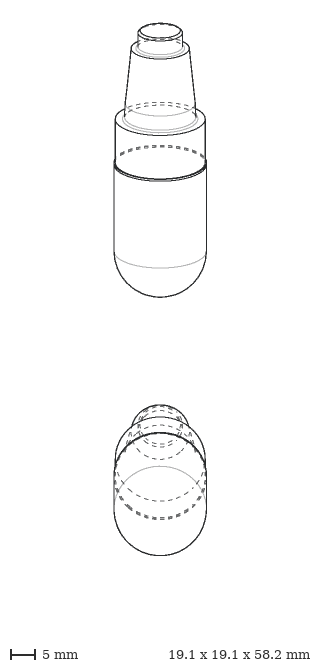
import cadquery as cq
import math

total_height = 58.2
capsule_radius = 19.05 / 2
joint_height = 28.7

collar_top = 29.1
shoulder_radius = 18.5 / 2
shoulder_top = 38.7
neck_base_radius = 7.35
taper_bottom = 42.2
taper_bottom_radius = 7.2
neck_top = 54.3
neck_top_radius = 6.0
button_radius = 9.2 / 2
button_chamfer_width = 0.45
button_chamfer_height = 0.45
root_fillet = 0.4


def make_capsule():
    """Cylinder with a hemispherical lower end and a flat top."""
    diagonal = capsule_radius * math.sqrt(0.5)
    profile = (
        cq.Workplane("XZ")
        .moveTo(0, 0)
        .threePointArc((diagonal, capsule_radius - diagonal), (capsule_radius, capsule_radius))
        .lineTo(capsule_radius, joint_height)
        .lineTo(0, joint_height)
        .close()
    )
    return profile.revolve(360, (0, 0, 0), (0, 1, 0))


def root_fillet_to(profile, wall_radius, floor_height):
    """Continue a profile along a floor and up a concave quarter fillet into a wall."""
    sag = root_fillet * (1 - math.sqrt(0.5))
    return (
        profile.lineTo(wall_radius + root_fillet, floor_height)
        .threePointArc(
            (wall_radius + sag, floor_height + sag),
            (wall_radius, floor_height + root_fillet),
        )
    )


def make_stem():
    """Turned stem with a collar, shoulder, tapered neck and chamfered button."""
    profile = (
        cq.Workplane("XZ")
        .moveTo(0, joint_height)
        .lineTo(capsule_radius, joint_height)
        .lineTo(capsule_radius, collar_top)
        .lineTo(shoulder_radius, collar_top)
        .lineTo(shoulder_radius, shoulder_top)
    )
    profile = root_fillet_to(profile, neck_base_radius, shoulder_top)
    profile = (
        profile.tangentArcPoint((taper_bottom_radius, taper_bottom), relative=False)
        .lineTo(neck_top_radius, neck_top)
    )
    profile = root_fillet_to(profile, button_radius, neck_top)
    profile = (
        profile.lineTo(button_radius, total_height - button_chamfer_height)
        .lineTo(button_radius - button_chamfer_width, total_height)
        .lineTo(0, total_height)
        .close()
    )
    return profile.revolve(360, (0, 0, 0), (0, 1, 0))


capsule = make_capsule()
stem = make_stem()

result = cq.Compound.makeCompound([capsule.val(), stem.val()])